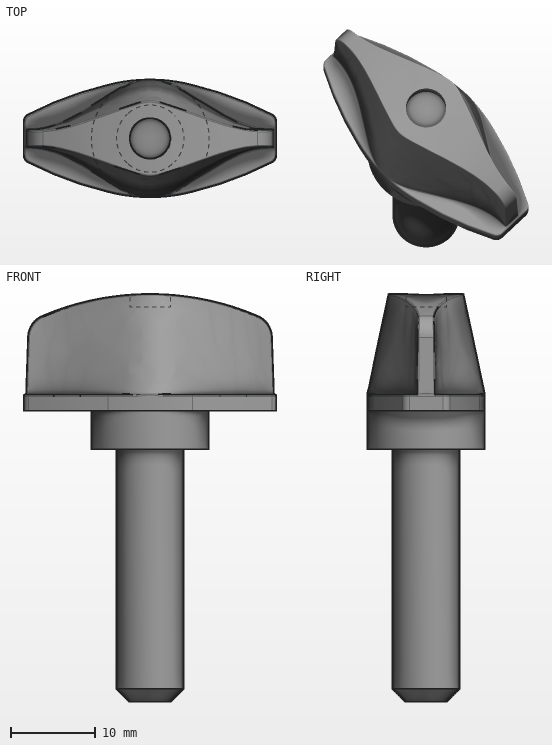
import cadquery as cq
import math

total_height = 48.5
flange_top = 36.5
flange_bottom = 34.6
collar_bottom = 30.0
flange_thickness = flange_top - flange_bottom

shaft_diameter = 8.0
tip_chamfer = 1.55
collar_diameter = 14.0
collar_radius = collar_diameter / 2

flange_length = 30.0
flange_half_length = flange_length / 2
flange_end_half_width = 2.55
flange_shoulder = (5.05, 6.35)
flange_side_bulge = 0.35
flange_corner_radius = 0.95

foot_nose_radius = collar_radius
foot_nose_angle = 41.0
foot_hollow = 0.85
top_nose_radius = 4.45
top_nose_angle = 23.0
top_hollow = 0.82
grip_end_half_width = 1.05

grip_foot_half_length = 14.75
grip_crown_half_length = 14.45
crown_radius = 32.5
grip_corner_radius = 2.85

recess_diameter = 4.8
recess_depth = 1.5
grip_edge_radius = 0.15
rim_edge_radius = 0.2
plate_oversize = 1.5
tolerance = 0.005


def workplane_at(height):
    return cq.Workplane("XY", origin=(0, 0, height))


def arc_middle(start, end, bulge):
    """Point offset by the bulge to the left of the middle of the chord from start to end."""
    run = end[0] - start[0]
    rise = end[1] - start[1]
    chord = math.hypot(run, rise)
    middle_x = (start[0] + end[0]) / 2 - bulge * rise / chord
    middle_y = (start[1] + end[1]) / 2 + bulge * run / chord
    return middle_x, middle_y


def make_shaft():
    """Plain shaft with a chamfered tip, and the round collar under the flange."""
    shaft = workplane_at(0).circle(shaft_diameter / 2).extrude(flange_bottom)
    shaft = shaft.faces("<Z").chamfer(tip_chamfer)
    collar = workplane_at(collar_bottom).circle(collar_radius).extrude(flange_bottom - collar_bottom)
    return shaft.union(collar)


def make_flange_prism():
    """Boat-shaped flange outline with rounded corners, extruded up to the full height."""
    end_x, end_y = flange_half_length, flange_end_half_width
    mid_x, mid_y = flange_shoulder
    side_x, side_y = arc_middle(flange_shoulder, (end_x, end_y), flange_side_bulge)
    prism = (
        workplane_at(flange_bottom)
        .moveTo(end_x, -end_y)
        .lineTo(end_x, end_y)
        .threePointArc((side_x, side_y), (mid_x, mid_y))
        .threePointArc((0, collar_radius), (-mid_x, mid_y))
        .threePointArc((-side_x, side_y), (-end_x, end_y))
        .lineTo(-end_x, -end_y)
        .threePointArc((-side_x, -side_y), (-mid_x, -mid_y))
        .threePointArc((0, -collar_radius), (mid_x, -mid_y))
        .threePointArc((side_x, -side_y), (end_x, -end_y))
        .close()
        .extrude(total_height - flange_bottom)
    )
    return prism.faces("<X or >X").edges("|Z").fillet(flange_corner_radius)


def grip_section(height, nose_radius, nose_angle, hollow):
    """Closed grip outline: smooth curves that round a nose and hollow out to narrow ends."""
    end_x, end_y = flange_half_length, grip_end_half_width
    shoulder_x = nose_radius * math.sin(math.radians(nose_angle))
    shoulder_y = nose_radius * math.cos(math.radians(nose_angle))
    hollow_x, hollow_y = arc_middle((shoulder_x, shoulder_y), (end_x, end_y), -hollow)
    side = [
        (hollow_x, hollow_y),
        (shoulder_x, shoulder_y),
        (0, nose_radius),
        (-shoulder_x, shoulder_y),
        (-hollow_x, hollow_y),
        (-end_x, end_y),
    ]
    opposite_side = [(-x, -y) for x, y in side]
    outline = (
        workplane_at(height)
        .moveTo(end_x, end_y)
        .spline(side, includeCurrent=True)
        .lineTo(-end_x, -end_y)
        .spline(opposite_side, includeCurrent=True)
        .close()
    )
    return outline.wires().val()


def make_grip():
    """Tapered grip trimmed to a crowned profile with drafted ends and rounded upper corners."""
    foot = grip_section(flange_top, foot_nose_radius, foot_nose_angle, foot_hollow)
    top = grip_section(total_height, top_nose_radius, top_nose_angle, top_hollow)
    body = cq.Workplane(cq.Solid.makeLoft([foot, top], True))

    crown_x = grip_crown_half_length
    crown_end_z = total_height - crown_radius + math.sqrt(crown_radius**2 - crown_x**2)
    profile = (
        cq.Workplane("XZ")
        .moveTo(-grip_foot_half_length, flange_top)
        .lineTo(grip_foot_half_length, flange_top)
        .lineTo(crown_x, crown_end_z)
        .threePointArc((0, total_height), (-crown_x, crown_end_z))
        .close()
        .extrude(collar_radius, both=True)
    )
    upper_corners = profile.faces(">Z").edges("|Y")
    return body.intersect(upper_corners.fillet(grip_corner_radius))


def make_head():
    """Flange and grip in one piece, with the grip foot, grip edges and flange rim rounded."""
    plate_length = flange_length * plate_oversize
    plate_width = collar_diameter * plate_oversize
    plate = workplane_at(flange_bottom).rect(plate_length, plate_width).extrude(flange_thickness)
    blank = plate.union(make_grip())
    foot_level = cq.selectors.BoxSelector(
        (-flange_half_length, -collar_radius, flange_top - tolerance),
        (flange_half_length, collar_radius, flange_top + tolerance),
    )
    above_foot = cq.selectors.BoxSelector(
        (-flange_half_length, -collar_radius, flange_top + tolerance),
        (flange_half_length, collar_radius, total_height + tolerance),
    )
    grip_edges = blank.edges(above_foot).edges("not |Y").add(blank.edges(foot_level))
    head = grip_edges.fillet(grip_edge_radius).intersect(make_flange_prism())

    upper_faces = head.faces("|Z").faces("not <Z")
    rim = upper_faces.edges("%CIRCLE").add(upper_faces.edges("<X or >X"))
    return rim.fillet(rim_edge_radius)


def make_recess():
    """Round blind recess in the crown of the grip."""
    recess_floor = workplane_at(total_height - recess_depth)
    return recess_floor.circle(recess_diameter / 2).extrude(recess_depth)


result = make_shaft().union(make_head()).cut(make_recess())